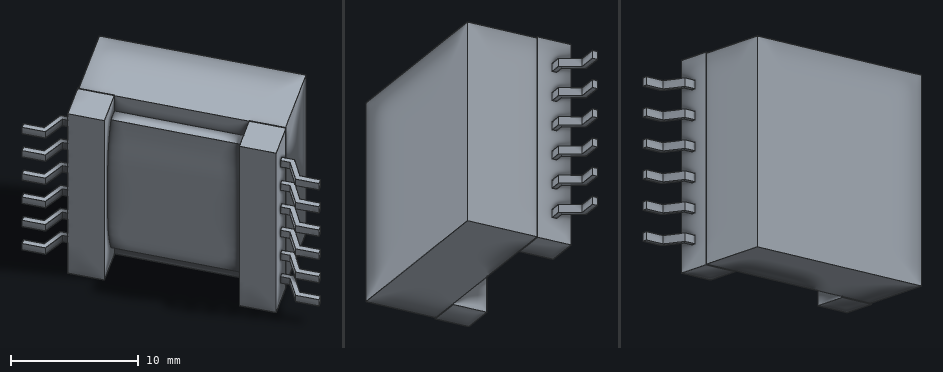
import cadquery as cq

overall_length = 24.13

core_length = 16.8
core_depth = 6.2
core_height = 17.25

bar_span = 16.95
bar_width = 3.0
bar_depth = 3.0
bar_height = 17.4

winding_depth = 2.0
winding_height = 13.95
winding_flat_height = 5.3
winding_bulge = 0.97

leads_per_side = 6
lead_pitch = 2.53
lead_width = 0.7
foot_drop = 0.4
foot_thickness = 0.45
shoulder_thickness = 0.39
shoulder_rise = 1.71
foot_bottom_length = 1.9
foot_top_length = 1.7
shoulder_lower_corner = 9.25
shoulder_upper_corner = 9.5


def make_core():
    return cq.Workplane("XY").box(core_length, core_depth, core_height, centered=(True, False, True))


def make_bar(side):
    """Bar on the +X (side = 1) or -X (side = -1) end of the core."""
    center_x = side * (bar_span - bar_width) / 2
    bar = cq.Workplane("XY").box(bar_width, bar_depth, bar_height)
    return bar.translate((center_x, -bar_depth / 2, 0))


def make_winding():
    """Prism along X: a flat front face running into each side through a tangent arc."""
    length = bar_span - 2 * bar_width
    front_y = -winding_depth
    side_y = front_y + winding_bulge
    half_height = winding_height / 2
    half_flat = winding_flat_height / 2

    arc_rise = half_height - half_flat
    arc_radius = (arc_rise**2 + winding_bulge**2) / (2 * winding_bulge)
    return (
        cq.Workplane("YZ")
        .moveTo(0, half_height)
        .lineTo(side_y, half_height)
        .radiusArc((front_y, half_flat), -arc_radius)
        .lineTo(front_y, -half_flat)
        .radiusArc((side_y, -half_height), -arc_radius)
        .lineTo(0, -half_height)
        .close()
        .extrude(length)
        .translate((-length / 2, 0, 0))
    )


def make_lead():
    """Lead on the +X side, centred on Z = 0."""
    bar_side_x = bar_span / 2
    tip_x = overall_length / 2
    foot_bottom_y = -(bar_depth + foot_drop)
    foot_top_y = foot_bottom_y + foot_thickness
    shoulder_bottom_y = foot_bottom_y + shoulder_rise
    shoulder_top_y = shoulder_bottom_y + shoulder_thickness
    profile = [
        (bar_side_x, shoulder_bottom_y),
        (shoulder_lower_corner, shoulder_bottom_y),
        (tip_x - foot_bottom_length, foot_bottom_y),
        (tip_x, foot_bottom_y),
        (tip_x, foot_top_y),
        (tip_x - foot_top_length, foot_top_y),
        (shoulder_upper_corner, shoulder_top_y),
        (bar_side_x, shoulder_top_y),
    ]
    lead = cq.Workplane("XY").polyline(profile).close().extrude(lead_width)
    return lead.translate((0, 0, -lead_width / 2))


result = make_core().union(make_winding())
for side in (-1, 1):
    result = result.union(make_bar(side))

right_lead = make_lead()
left_lead = right_lead.mirror("YZ")
for index in range(leads_per_side):
    lead_z = (index - (leads_per_side - 1) / 2) * lead_pitch
    for lead in (left_lead, right_lead):
        result = result.union(lead.translate((0, 0, lead_z)))